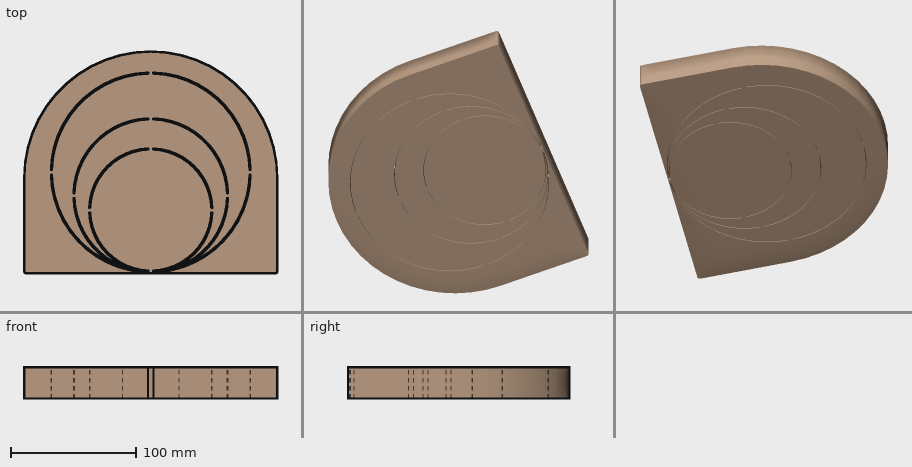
import cadquery as cq

plate_radius = 101.0
plate_depth = 177.0
thickness = 25.0
corner_radius = 2.0
round_center_y = plate_depth - plate_radius

ring_slots = [
    (79.5, 1.0),
    (61.5, 0.5),
    (49.0, 1.5),
]
slot_width = 0.5
bridge_width = 4.0


def make_plate():
    outline = (
        cq.Workplane("XY")
        .moveTo(-plate_radius, 0)
        .lineTo(plate_radius, 0)
        .lineTo(plate_radius, round_center_y)
        .threePointArc((0, plate_depth), (-plate_radius, round_center_y))
        .close()
    )
    plate = outline.extrude(thickness)
    return plate.edges("|Z and <Y").fillet(corner_radius)


def make_ring_slot(outer_radius, front_wall):
    """Full-depth ring, interrupted by bridges along X and Y through its centre."""
    center = cq.Workplane("XY").center(0, front_wall + outer_radius)
    ring = center.circle(outer_radius).circle(outer_radius - slot_width).extrude(thickness)
    bridge_length = 2 * outer_radius + bridge_width
    bridge_along_x = center.rect(bridge_length, bridge_width).extrude(thickness)
    bridge_along_y = center.rect(bridge_width, bridge_length).extrude(thickness)
    return ring.cut(bridge_along_x).cut(bridge_along_y)


result = make_plate()
for slot_radius, slot_wall in ring_slots:
    result = result.cut(make_ring_slot(slot_radius, slot_wall))